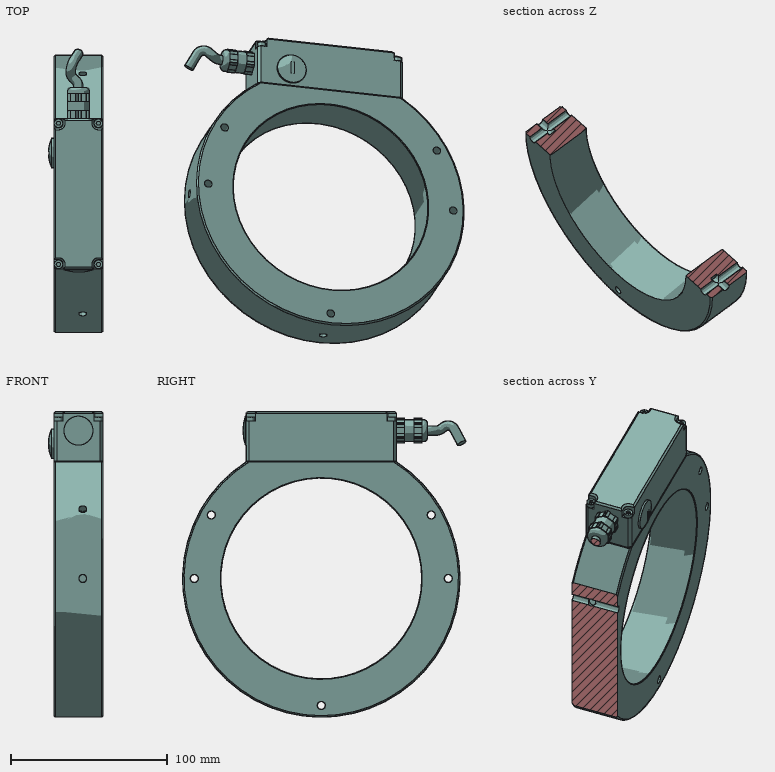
import cadquery as cq
import math

body_width = 31.5
ring_radius = 88.5
ring_chamfer = 1.0
bore_diameter = 128.0
bore_chamfer = 0.5
lead_in_length = 6.5
lead_in_widening = 0.3
lead_out_length = 1.5
lead_out_widening = 0.4

tap_diameter = 4.92
tap_circle_radius = 81.0
tap_angles = (0, 30, 150, 180, 270)
radial_tap_x = 18.5
radial_tap_depth = 12.0

box_half_length = 48.0
box_top = 106.5
box_edge_chamfer = 2.0
box_base = math.sqrt(ring_radius ** 2 - box_half_length ** 2)
lid_chamfer = 1.2
joint_groove_height = 0.5
joint_groove_depth = 0.25

screw_inset = 3.0
notch_radius = 3.0
notch_depth = 6.2
screw_head_diameter = 5.5
screw_head_height = 2.7
screw_socket_across_flats = 2.5
screw_socket_depth = 1.5

port_drop = 12.2
port_x = body_width / 2
port_z = box_top - port_drop

side_plug_diameter = 19.0
side_plug_rim = 1.3
side_plug_height = 3.5
side_plug_y = 26.0
side_plug_z = 86.0
plug_slot_length = 9.0
plug_slot_width = 2.2
plug_slot_depth = 0.4
end_plug_diameter = 18.5
end_plug_rim = 0.5
end_plug_height = 2.0

gland_diameter = 14.0
gland_length = 19.8
gland_end_fillet = 2.5
gland_nuts = ((0.0, 5.0), (11.0, 5.1))
nut_across_flats = 14.0
nut_corner_radius = 8.0
nut_recess_width = 3.8
nut_recess_depth = 0.4

cable_diameter = 6.0
cable_bends = (
    ((port_x, 70.6, port_z), 6.0),
    ((10.6, 75.4, port_z), 5.0),
    ((11.0, 82.2, 100.2), 4.8),
)
cable_end = (15.7, 89.6, 86.3)

overlap = 1.0
hexagon_sides = 6
hexagon_step = 360 / hexagon_sides


def x_cylinder(diameter, length):
    """Cylinder from x = 0 toward +X on the ring axis."""
    return cq.Workplane("YZ").circle(diameter / 2).extrude(length)


def hexagon_across_corners(across_flats):
    return across_flats / math.cos(math.pi / hexagon_sides)


def make_ring():
    blank = x_cylinder(2 * ring_radius, body_width)
    return blank.edges().chamfer(ring_chamfer)


def cut_bore(body):
    """Turn the bore: chamfer and shallow lead-in at -X, short lead-out at +X."""
    radius = bore_diameter / 2
    lead_in_radius = radius + lead_in_widening
    bore = (
        cq.Workplane("XY")
        .moveTo(0, 0)
        .lineTo(0, lead_in_radius + bore_chamfer)
        .lineTo(bore_chamfer, lead_in_radius)
        .lineTo(lead_in_length, radius)
        .lineTo(body_width - lead_out_length, radius)
        .lineTo(body_width, radius + lead_out_widening)
        .lineTo(body_width, 0)
        .close()
        .revolve(360, (0, 0, 0), (1, 0, 0))
    )
    return body.cut(bore)


def cut_tapped_holes(body):
    for angle in tap_angles:
        cos_a = math.cos(math.radians(angle))
        sin_a = math.sin(math.radians(angle))
        axial = x_cylinder(tap_diameter, body_width).translate(
            (0, tap_circle_radius * cos_a, tap_circle_radius * sin_a)
        )
        floor_radius = ring_radius - radial_tap_depth
        radial = cq.Solid.makeCylinder(
            tap_diameter / 2,
            radial_tap_depth + overlap,
            pnt=cq.Vector(radial_tap_x, floor_radius * cos_a, floor_radius * sin_a),
            dir=cq.Vector(0, cos_a, sin_a),
        )
        body = body.cut(axial).cut(cq.Workplane(radial))
    return body


def make_box():
    box = cq.Workplane("XY").box(
        body_width, 2 * box_half_length, box_top - box_base, centered=(False, True, False)
    ).translate((0, 0, box_base))
    box = box.edges("|Z").chamfer(box_edge_chamfer)
    return box.faces(">Z").edges().chamfer(lid_chamfer)


def cut_joint_groove(body):
    """Shallow groove around the foot of the box where it meets the ring."""
    band = cq.Workplane("XY").rect(body_width + overlap, 2 * box_half_length + overlap)
    band = band.extrude(joint_groove_height)
    core = cq.Workplane("XY").rect(
        body_width - 2 * joint_groove_depth, 2 * (box_half_length - joint_groove_depth)
    ).extrude(joint_groove_height)
    core = core.edges("|Z").chamfer(box_edge_chamfer)
    return body.cut(band.cut(core).translate((body_width / 2, 0, box_base)))


def make_notch():
    """Corner notch at the origin corner, opening toward -X and -Y, with a bevelled rim."""
    reach = screw_inset + overlap

    def outline(radius):
        arc_middle = radius * math.sqrt(0.5)
        return (
            cq.Workplane("XY")
            .moveTo(-reach, -reach)
            .lineTo(radius, -reach)
            .lineTo(radius, 0)
            .threePointArc((arc_middle, arc_middle), (0, radius))
            .lineTo(-reach, radius)
            .close()
        )

    straight = outline(notch_radius).extrude(notch_depth + overlap)
    bevel = outline(notch_radius + lid_chamfer).extrude(-lid_chamfer, taper=45)
    return straight.union(bevel.translate((0, 0, notch_depth)))


def make_screw_head():
    socket_diameter = hexagon_across_corners(screw_socket_across_flats)
    head = cq.Workplane("XY").circle(screw_head_diameter / 2).extrude(screw_head_height)
    return head.faces(">Z").workplane().polygon(hexagon_sides, socket_diameter).cutBlind(-screw_socket_depth)


def fit_lid_screws(body):
    notch = make_notch()
    head = make_screw_head()
    for side_x in (1, -1):
        for side_y in (1, -1):
            corner_notch = notch
            if side_x < 0:
                corner_notch = corner_notch.mirror("YZ")
            if side_y < 0:
                corner_notch = corner_notch.mirror("XZ")
            place = (
                body_width / 2 - side_x * (body_width / 2 - screw_inset),
                -side_y * (box_half_length - screw_inset),
                box_top - notch_depth,
            )
            body = body.cut(corner_notch.translate(place)).union(head.translate(place))
    return body


def make_plug(diameter, rim, height):
    """Domed plug on the XY plane, rising toward +Z."""
    radius = diameter / 2
    rise = height - rim
    sphere_radius = (radius ** 2 + rise ** 2) / (2 * rise)
    half_angle = math.asin(radius / sphere_radius) / 2
    middle = (
        sphere_radius * math.sin(half_angle),
        height - sphere_radius * (1 - math.cos(half_angle)),
    )
    return (
        cq.Workplane("XZ")
        .moveTo(0, -overlap)
        .lineTo(radius, -overlap)
        .lineTo(radius, rim)
        .threePointArc(middle, (0, height))
        .close()
        .revolve(360, (0, 0, 0), (0, 1, 0))
    )


def make_side_plug():
    plug = make_plug(side_plug_diameter, side_plug_rim, side_plug_height)
    slot = (
        cq.Workplane("XY")
        .workplane(offset=side_plug_height - plug_slot_depth)
        .slot2D(plug_slot_length, plug_slot_width)
        .extrude(plug_slot_depth + overlap)
    )
    plug = plug.cut(slot).rotate((0, 0, 0), (0, 1, 0), -90)
    return plug.translate((0, side_plug_y, side_plug_z))


def make_end_plug():
    plug = make_plug(end_plug_diameter, end_plug_rim, end_plug_height)
    plug = plug.rotate((0, 0, 0), (1, 0, 0), 90)
    return plug.translate((port_x, -box_half_length, port_z))


def make_nut(length):
    """Hexagonal grip along +Z with rounded corners and a shallow recess in each flat."""
    across_corners = hexagon_across_corners(nut_across_flats)
    nut = cq.Workplane("XY").polygon(hexagon_sides, across_corners).extrude(length)
    nut = nut.intersect(cq.Workplane("XY").circle(nut_corner_radius).extrude(length))
    recess = cq.Workplane("XY").box(
        nut_recess_depth + overlap, nut_recess_width, length, centered=(False, True, False)
    ).translate((nut_across_flats / 2 - nut_recess_depth, 0, 0))
    for flat in range(hexagon_sides):
        nut = nut.cut(recess.rotate((0, 0, 0), (0, 0, 1), (flat + 0.5) * hexagon_step))
    return nut.rotate((0, 0, 0), (0, 0, 1), hexagon_step / 2)


def make_gland():
    """Stepped gland: plain cylinder, replaced by a hexagonal grip at each nut."""
    gland = (
        cq.Workplane("XY").circle(gland_diameter / 2).extrude(gland_length)
        .faces(">Z").edges().fillet(gland_end_fillet)
    )
    for start, length in gland_nuts:
        blank = cq.Workplane("XY").circle(gland_diameter).extrude(length)
        gland = gland.cut(blank.translate((0, 0, start)))
        gland = gland.union(make_nut(length).translate((0, 0, start)))
    gland = gland.rotate((0, 0, 0), (1, 0, 0), -90)
    return gland.translate((port_x, box_half_length, port_z))


def make_cable():
    """Round cable swept along straight runs joined by tangent arcs."""
    start = cq.Vector(port_x, box_half_length + gland_length - overlap, port_z)
    end = cq.Vector(*cable_end)
    corners = [cq.Vector(*corner) for corner, _ in cable_bends]
    stations = [start] + corners + [end]
    edges = []
    run_start = start
    for index, (_, bend_radius) in enumerate(cable_bends):
        corner = corners[index]
        to_previous = (stations[index] - corner).normalized()
        to_next = (stations[index + 2] - corner).normalized()
        half_angle = math.acos(to_previous.dot(to_next)) / 2
        trim = bend_radius / math.tan(half_angle)
        arc_start = corner + to_previous * trim
        arc_end = corner + to_next * trim
        corner_gap = bend_radius / math.sin(half_angle) - bend_radius
        arc_middle = corner + (to_previous + to_next).normalized() * corner_gap
        edges.append(cq.Edge.makeLine(run_start, arc_start))
        edges.append(cq.Edge.makeThreePointArc(arc_start, arc_middle, arc_end))
        run_start = arc_end
    edges.append(cq.Edge.makeLine(run_start, end))
    path = cq.Workplane(cq.Wire.assembleEdges(edges))
    profile = cq.Workplane(cq.Plane(start.toTuple(), (1, 0, 0), (0, 1, 0))).circle(cable_diameter / 2)
    return profile.sweep(path)


housing = cut_bore(make_ring())
housing = cut_tapped_holes(housing)
housing = cut_joint_groove(housing.union(make_box()))
housing = fit_lid_screws(housing)
housing = housing.union(make_side_plug()).union(make_end_plug())
result = housing.union(make_gland()).union(make_cable())